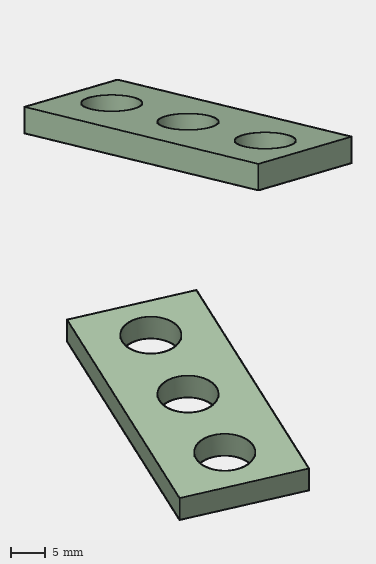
import cadquery as cq

length = 45.95
width = 20.1
thickness = 4.0

hole_diameter = 8.85
left_hole_spacing = 15.0
right_hole_spacing = 15.15
hole_centers = [(-left_hole_spacing, 0), (0, 0), (right_hole_spacing, 0)]

plate = cq.Workplane("XY").box(length, width, thickness)

result = plate.faces(">Z").workplane().pushPoints(hole_centers).hole(hole_diameter)